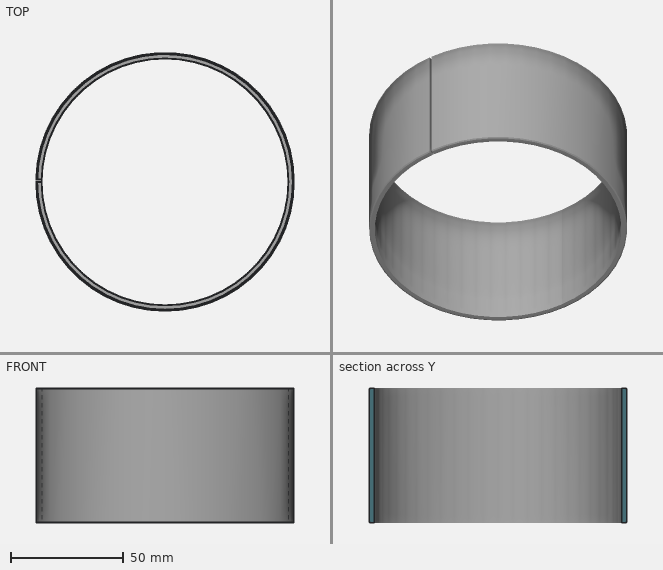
import cadquery as cq

outer_diameter = 115.0
wall = 2.5
height = 60.0
chamfer_radial = 0.6
chamfer_axial = 0.3
split_width = 1.0

outer_radius = outer_diameter / 2
inner_radius = outer_radius - wall
rim_radius = outer_radius - chamfer_radial

wall_section = (
    cq.Workplane("XZ")
    .moveTo(inner_radius, 0)
    .lineTo(rim_radius, 0)
    .lineTo(outer_radius, chamfer_axial)
    .lineTo(outer_radius, height - chamfer_axial)
    .lineTo(rim_radius, height)
    .lineTo(inner_radius, height)
    .close()
)
ring = wall_section.revolve(360, (0, 0, 0), (0, 1, 0))

split_depth = 2 * wall
split = cq.Workplane("XY").box(split_depth, split_width, height, centered=(True, False, False))
split = split.translate((-outer_radius, 0, 0))

result = ring.cut(split)